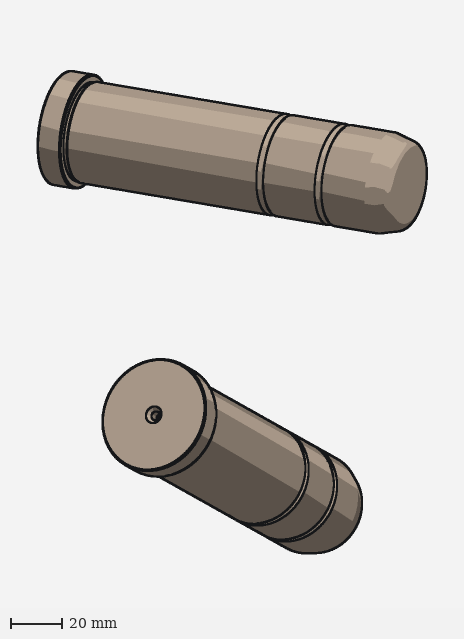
import cadquery as cq
import math


total_length = 150.0
shaft_radius = 20.0

head_radius = 22.5
head_length = 10.0
head_chamfer = 0.5

neck_depth = 0.4
neck_end = 11.4
neck_ramp_length = 0.5

groove_starts = (93.35, 118.45)
groove_width = 2.9
groove_ramp_length = 1.55
groove_ramp_depth = 0.75

nose_start = 140.0
nose_angle = math.radians(15)
tip_radius = 3.5

centre_pilot_diameter = 3.5
centre_mouth_diameter = 6.7
centre_cone_angle = 90.0
centre_pilot_depth = 6.0
drill_point_angle = 118.0


def cone_length(large_diameter, small_diameter, included_angle):
    """Axial length of a cone between two diameters."""
    return (large_diameter - small_diameter) / 2 / math.tan(math.radians(included_angle / 2))


def add_groove(profile, start):
    """Dip the shaft outline into one lubrication groove."""
    profile = profile.lineTo(start, shaft_radius)
    profile = profile.lineTo(start + groove_ramp_length, shaft_radius - groove_ramp_depth)
    return profile.tangentArcPoint((start + groove_width, shaft_radius), relative=False)


def add_nose(profile):
    """Continue the shaft outline along the lead-in cone and the tangent rounded tip."""
    cone_end_x = total_length - tip_radius * (1 - math.sin(nose_angle))
    cone_end_r = shaft_radius - (cone_end_x - nose_start) * math.tan(nose_angle)
    end_face_radius = cone_end_r - tip_radius * math.cos(nose_angle)
    profile = profile.lineTo(nose_start, shaft_radius)
    profile = profile.lineTo(cone_end_x, cone_end_r)
    return profile.tangentArcPoint((total_length, end_face_radius), relative=False)


def make_pillar():
    """Revolve the half outline of the pillar about X."""
    neck_radius = shaft_radius - neck_depth
    profile = (
        cq.Workplane("XY")
        .lineTo(0, head_radius - head_chamfer)
        .lineTo(head_chamfer, head_radius)
        .lineTo(head_length - head_chamfer, head_radius)
        .lineTo(head_length, head_radius - head_chamfer)
        .lineTo(head_length, neck_radius)
        .lineTo(neck_end, neck_radius)
        .lineTo(neck_end + neck_ramp_length, shaft_radius)
    )
    for start in groove_starts:
        profile = add_groove(profile, start)
    profile = add_nose(profile)
    return profile.lineTo(total_length, 0).close().revolve(360, (0, 0, 0), (1, 0, 0))


def make_centre_hole():
    """Centre-drilled hole: conical mouth, pilot bore and drill point."""
    mouth_length = cone_length(centre_mouth_diameter, centre_pilot_diameter, centre_cone_angle)
    point_length = cone_length(centre_pilot_diameter, 0, drill_point_angle)
    return (
        cq.Workplane("XY")
        .lineTo(0, centre_mouth_diameter / 2)
        .lineTo(mouth_length, centre_pilot_diameter / 2)
        .lineTo(centre_pilot_depth, centre_pilot_diameter / 2)
        .lineTo(centre_pilot_depth + point_length, 0)
        .close()
        .revolve(360, (0, 0, 0), (1, 0, 0))
    )


result = make_pillar().cut(make_centre_hole())